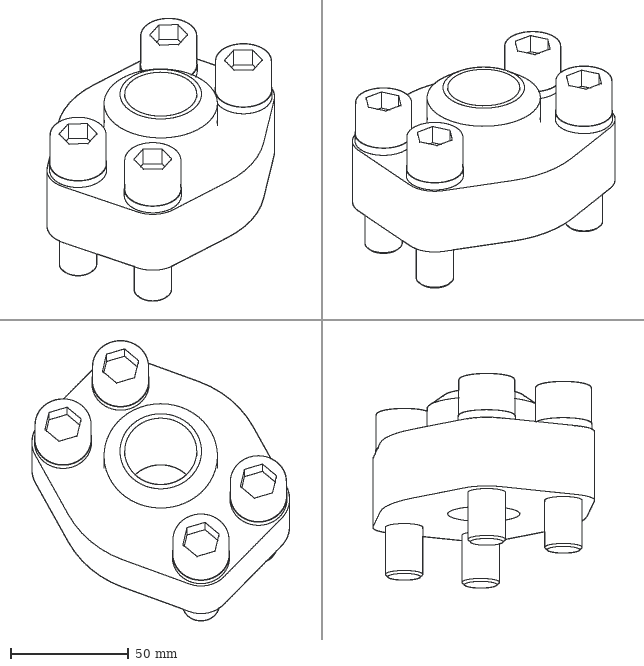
import cadquery as cq
import math

flange_length = 106.0
flange_width = 88.7
flange_height = 30.0
side_radius = flange_width / 2

bolt_spacing_x = 36.5
bolt_spacing_y = 79.4
bolt_x = bolt_spacing_x / 2
bolt_y = bolt_spacing_y / 2
corner_radius = flange_length / 2 - bolt_y

neck_diameter = 48.3
neck_tip_diameter = 34.8
neck_height = 21.0
bevel_height = 5.0
root_radius = 4.5
bore_diameter = 30.7

washer_diameter = 24.4
washer_height = 3.5
head_diameter = 24.0
head_height = 16.0
head_edge_radius = 0.6
shank_diameter = 16.0
shank_reach = 21.5
shank_chamfer = 1.1
socket_across_flats = 14.0
socket_depth = 8.0


def polar(center_x, center_y, radius, angle):
    """Point at the given radius and angle from a center."""
    return (center_x + radius * math.cos(angle), center_y + radius * math.sin(angle))


def cylinder(diameter, base_z, height):
    """Solid cylinder on the Z axis, rising from base_z."""
    return cq.Workplane("XY").workplane(offset=base_z).circle(diameter / 2).extrude(height)


def make_flange():
    """Block whose slanted sides are tangent to the side arcs and to the corner arcs around the bolts."""
    bolt_distance = math.hypot(bolt_x, bolt_y)
    slant = math.atan2(bolt_y, bolt_x) - math.acos((side_radius - corner_radius) / bolt_distance)
    side_x, side_y = polar(0, 0, side_radius, slant)
    corner_x, corner_y = polar(bolt_x, bolt_y, corner_radius, slant)
    mid_x, mid_y = polar(bolt_x, bolt_y, corner_radius, (slant + math.pi / 2) / 2)
    end_y = flange_length / 2
    return (
        cq.Workplane("XY")
        .moveTo(side_x, -side_y)
        .threePointArc((side_radius, 0), (side_x, side_y))
        .lineTo(corner_x, corner_y)
        .threePointArc((mid_x, mid_y), (bolt_x, end_y))
        .lineTo(-bolt_x, end_y)
        .threePointArc((-mid_x, mid_y), (-corner_x, corner_y))
        .lineTo(-side_x, side_y)
        .threePointArc((-side_radius, 0), (-side_x, -side_y))
        .lineTo(-corner_x, -corner_y)
        .threePointArc((-mid_x, -mid_y), (-bolt_x, -end_y))
        .lineTo(bolt_x, -end_y)
        .threePointArc((mid_x, -mid_y), (corner_x, -corner_y))
        .close()
        .extrude(flange_height)
    )


def make_neck():
    """Revolved neck with a concave root fillet and a weld bevel at the tip."""
    neck_radius = neck_diameter / 2
    tip_z = flange_height + neck_height
    foot_radius = neck_radius + root_radius
    root_z = flange_height + root_radius
    root_mid = polar(foot_radius, root_z, root_radius, math.radians(225))
    return (
        cq.Workplane("XZ")
        .lineTo(foot_radius, 0)
        .lineTo(foot_radius, flange_height)
        .threePointArc(root_mid, (neck_radius, root_z))
        .lineTo(neck_radius, tip_z - bevel_height)
        .lineTo(neck_tip_diameter / 2, tip_z)
        .lineTo(0, tip_z)
        .close()
        .revolve(360, (0, 0, 0), (0, 1, 0))
    )


def make_bolt():
    """Bolt on the Z axis, with its washer resting on the flange and its shank passing through."""
    head_base = flange_height + washer_height
    washer = cylinder(washer_diameter, flange_height, washer_height)
    socket_corner_diameter = socket_across_flats / math.cos(math.pi / 6)
    socket = (
        cq.Workplane("XY")
        .workplane(offset=head_base + head_height - socket_depth)
        .transformed(rotate=(0, 0, 90))
        .polygon(6, socket_corner_diameter)
        .extrude(socket_depth)
    )
    head = (
        cylinder(head_diameter, head_base, head_height)
        .faces(">Z")
        .edges()
        .fillet(head_edge_radius)
        .cut(socket)
    )
    shank = (
        cylinder(shank_diameter, -shank_reach, shank_reach + flange_height)
        .faces("<Z")
        .edges()
        .chamfer(shank_chamfer)
    )
    return shank.union(washer).union(head)


bore = cylinder(bore_diameter, 0, flange_height + neck_height)
result = make_flange().union(make_neck()).cut(bore)

bolt = make_bolt()
for x in (-bolt_x, bolt_x):
    for y in (-bolt_y, bolt_y):
        result = result.union(bolt.translate((x, y, 0)))